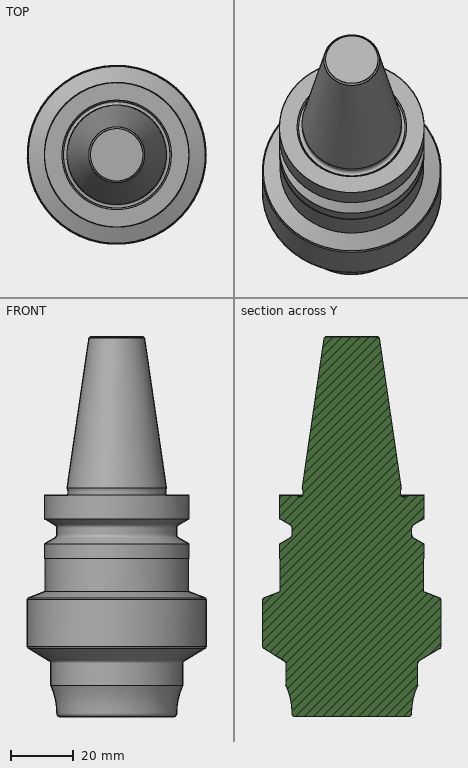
import cadquery as cq
import math

total_height = 120.9

shank_base_radius = 15.8
shank_base_z = 72.8
shank_taper = 7 / 24
shank_edge_chamfer = 0.5

neck_radius = 15.6
neck_top_z = 71.9
undercut_depth = 0.5
undercut_fillet = 0.8
undercut_floor_radius = 16.9
undercut_mouth_radius = 17.4

flange_radius = 46.1 / 2
flange_top_z = 70.5
flange_bottom_z = 50.3
groove_radius = 19.1
groove_upper_edge_z = 63.0
groove_lower_edge_z = 55.0
groove_flank_angle = 30.0
groove_fillet = 1.0
flange_edge_chamfer = 0.1

upper_body_radius = 22.9
collar_radius = 57.0 / 2
collar_top_z = 37.7
collar_top_cone_height = 2.2
collar_bottom_z = 22.0
collar_bottom_cone_height = 4.5
collar_edge_chamfer = 0.4

nose_radius = 21.0
nose_fillet = 0.7
nose_waist_top_z = 10.0
nose_tip_radius = 19.1
nose_edge_fillet = 1.1

shank_top_radius = shank_base_radius - (total_height - shank_base_z) * shank_taper / 2
undercut_floor_z = flange_top_z - undercut_depth
groove_flank_height = (flange_radius - groove_radius) * math.tan(math.radians(groove_flank_angle))
groove_floor_bottom_z = groove_lower_edge_z + groove_flank_height
groove_floor_top_z = groove_upper_edge_z - groove_flank_height
nose_top_z = collar_bottom_z - collar_bottom_cone_height
waist_drop = nose_waist_top_z - nose_edge_fillet
waist_step = nose_radius - nose_tip_radius
waist_arc_radius = (waist_drop**2 + waist_step**2) / (2 * waist_step)
waist_arc_angle = math.asin(waist_drop / waist_arc_radius) / 2
waist_middle = (
    nose_tip_radius + waist_arc_radius * (1 - math.cos(waist_arc_angle)),
    nose_edge_fillet + waist_arc_radius * math.sin(waist_arc_angle),
)


def make_blank():
    """Revolve the half outline, from the nose up to the shank top."""
    outline = (
        cq.Workplane("XZ")
        .lineTo(nose_tip_radius - nose_edge_fillet, 0)
        .radiusArc((nose_tip_radius, nose_edge_fillet), -nose_edge_fillet)
        .threePointArc(waist_middle, (nose_radius, nose_waist_top_z))
        .lineTo(nose_radius, nose_top_z)
        .lineTo(collar_radius, collar_bottom_z)
        .lineTo(collar_radius, collar_top_z)
        .lineTo(upper_body_radius, collar_top_z + collar_top_cone_height)
        .lineTo(upper_body_radius, flange_bottom_z)
        .lineTo(flange_radius - flange_edge_chamfer, flange_bottom_z)
        .lineTo(flange_radius, flange_bottom_z + flange_edge_chamfer)
        .lineTo(flange_radius, groove_lower_edge_z)
        .lineTo(groove_radius, groove_floor_bottom_z)
        .lineTo(groove_radius, groove_floor_top_z)
        .lineTo(flange_radius, groove_upper_edge_z)
        .lineTo(flange_radius, flange_top_z)
        .lineTo(undercut_mouth_radius, flange_top_z)
        .lineTo(undercut_floor_radius, undercut_floor_z)
        .lineTo(neck_radius + undercut_fillet, undercut_floor_z)
        .radiusArc((neck_radius, undercut_floor_z + undercut_fillet), undercut_fillet)
        .lineTo(neck_radius, neck_top_z)
        .lineTo(shank_base_radius, shank_base_z)
        .lineTo(shank_top_radius, total_height)
        .lineTo(0, total_height)
        .close()
    )
    return outline.revolve(360, (0, 0, 0), (0, 1, 0))


def ring_edges(radius, z):
    """Select the circular edges lying near the given radius and height."""
    tolerance = 0.06
    reach = radius + tolerance
    return cq.selectors.BoxSelector(
        (-reach, -reach, z - tolerance), (reach, reach, z + tolerance), boundingbox=True
    )


def finish_edges(body):
    """Blend the inner corners and break the outer edges."""
    for z in (groove_floor_bottom_z, groove_floor_top_z):
        body = body.edges(ring_edges(groove_radius, z)).fillet(groove_fillet)
    body = body.edges(ring_edges(nose_radius, nose_top_z)).fillet(nose_fillet)
    for z in (collar_bottom_z, collar_top_z):
        body = body.edges(ring_edges(collar_radius, z)).chamfer(collar_edge_chamfer)
    return body.faces(">Z").edges().chamfer(shank_edge_chamfer)


result = finish_edges(make_blank())